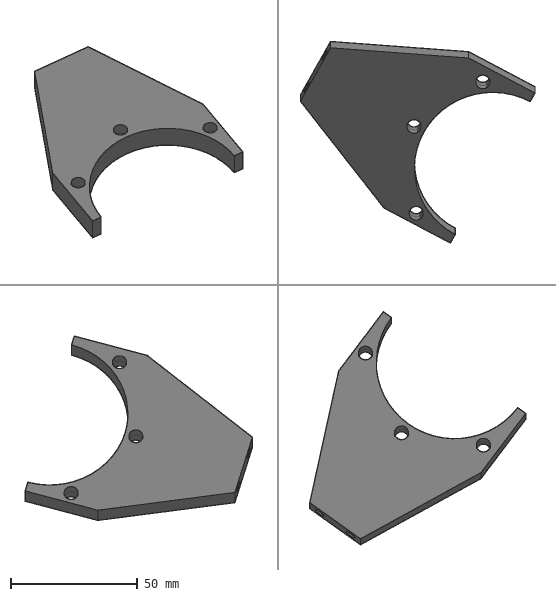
import cadquery as cq
import math

length = 80.0
width = 70.0
thickness = 10.0
narrow_end_width = 25.0
taper_length = 50.0
cutout_diameter = 62.0

through_hole_diameter = 5.5
hole_arc_radius = 35.5
through_hole_angles = (120, 180, 235)

end_hole_diameter = 4.2
end_hole_spacing = 15.0
end_hole_depth = 15.0
drill_point_angle = 118


def tapered_plate():
    taper_end_x = taper_length - length
    outline = [
        (-length, -narrow_end_width / 2),
        (taper_end_x, -width / 2),
        (0, -width / 2),
        (0, width / 2),
        (taper_end_x, width / 2),
        (-length, narrow_end_width / 2),
    ]
    return cq.Workplane("XY").polyline(outline).close().extrude(thickness / 2, both=True)


def through_cutter(diameter, x, y):
    return cq.Workplane("XY").center(x, y).circle(diameter / 2).extrude(thickness, both=True)


def drilled_end_hole(y):
    """Blind hole along +X with a conical drill point."""
    radius = end_hole_diameter / 2
    tip_depth = radius / math.tan(math.radians(drill_point_angle / 2))
    half_profile = [
        (0, 0),
        (0, radius),
        (end_hole_depth, radius),
        (end_hole_depth + tip_depth, 0),
    ]
    drill = cq.Workplane("XY").polyline(half_profile).close().revolve(360, (0, 0), (1, 0))
    return drill.translate((-length, y, 0))


result = tapered_plate().cut(through_cutter(cutout_diameter, 0, 0))

for angle in through_hole_angles:
    hole_x = hole_arc_radius * math.cos(math.radians(angle))
    hole_y = hole_arc_radius * math.sin(math.radians(angle))
    result = result.cut(through_cutter(through_hole_diameter, hole_x, hole_y))

for side in (-1, 1):
    result = result.cut(drilled_end_hole(side * end_hole_spacing / 2))